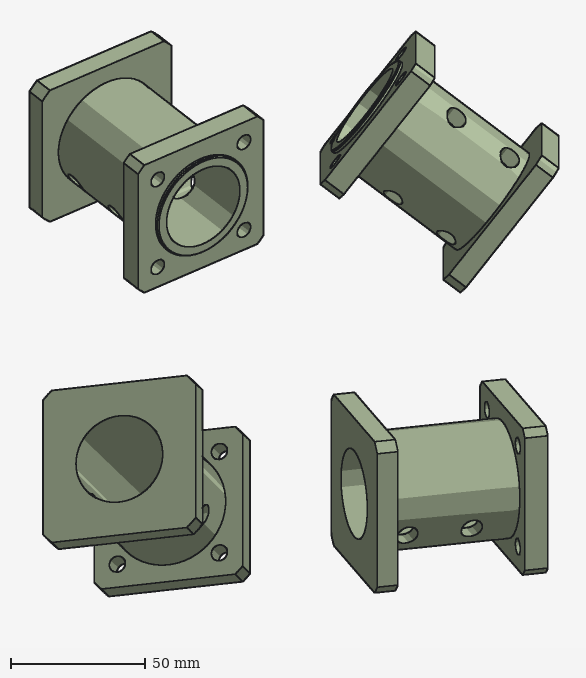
import cadquery as cq

total_length = 68.0
large_flange_thickness = 8.0
small_flange_thickness = 9.0
spigot_length = 1.5
small_flange_end = total_length - spigot_length
small_flange_start = small_flange_end - small_flange_thickness

large_flange_side = 60.0
large_flange_corner_diameter = 80.0
small_flange_side = 58.2
small_flange_corner_diameter = 78.35

body_diameter = 45.0
bore_diameter = 34.0
spigot_diameter = 42.0
spigot_chamfer = 0.5

cross_hole_diameter = 8.0
cross_hole_start = 14.8
cross_hole_spacing = 25.0
cross_hole_z = -11.3

mount_hole_diameter = 6.2
mount_hole_spacing = 40.0


def cylinder(start, end, diameter):
    """Cylinder about the X axis between two X positions."""
    return cq.Workplane("YZ", origin=(start, 0, 0)).circle(diameter / 2).extrude(end - start)


def flange(start, thickness, side, corner_diameter):
    """Square plate whose corners are rounded off by a larger circle."""
    plate = cq.Workplane("YZ", origin=(start, 0, 0)).rect(side, side).extrude(thickness)
    return plate.intersect(cylinder(start, start + thickness, corner_diameter))


large_flange = flange(
    0,
    large_flange_thickness,
    large_flange_side,
    large_flange_corner_diameter,
)
small_flange = flange(
    small_flange_start,
    small_flange_thickness,
    small_flange_side,
    small_flange_corner_diameter,
)
body = cylinder(0, small_flange_end, body_diameter)
spigot = cylinder(small_flange_start, total_length, spigot_diameter)
spigot = spigot.faces(">X").edges().chamfer(spigot_chamfer)
result = body.union(large_flange).union(small_flange).union(spigot)

result = result.cut(cylinder(0, total_length, bore_diameter))

for index in range(2):
    hole_x = cross_hole_start + index * cross_hole_spacing
    cross_hole = (
        cq.Workplane("XZ")
        .center(hole_x, cross_hole_z)
        .circle(cross_hole_diameter / 2)
        .extrude(body_diameter / 2, both=True)
    )
    result = result.cut(cross_hole)

mount_holes = (
    cq.Workplane("YZ", origin=(small_flange_start, 0, 0))
    .rect(mount_hole_spacing, mount_hole_spacing, forConstruction=True)
    .vertices()
    .circle(mount_hole_diameter / 2)
    .extrude(small_flange_thickness)
)
result = result.cut(mount_holes)